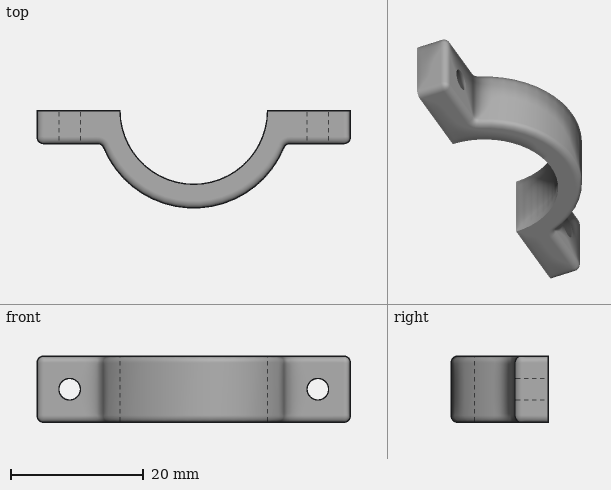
import cadquery as cq

length = 47.25
width = 10.0
outer_radius = 14.7
bore_radius = 11.1

ear_thickness = 5.0
hole_diameter = 3.2
hole_spacing = 37.4

edge_radius = 1.0


def half_disc(radius):
    """Half cylinder on the -Y side of the flat mating plane."""
    return (
        cq.Workplane("XY")
        .moveTo(-radius, 0)
        .threePointArc((0, -radius), (radius, 0))
        .close()
        .extrude(width)
    )


def ear_bar():
    """Straight bar behind the arch that forms both ears."""
    bar = cq.Workplane("XY").box(length, ear_thickness, width, centered=(True, False, False))
    return bar.translate((0, -ear_thickness, 0))


body = half_disc(outer_radius).union(ear_bar())
corner_reach = outer_radius + edge_radius
corner_box = cq.selectors.BoxSelector(
    (-corner_reach, -ear_thickness - edge_radius, 0),
    (corner_reach, -ear_thickness + edge_radius, width),
)
body = body.edges("|Z").edges(corner_box).fillet(edge_radius)

rims_and_ends = body.edges("<Z or >Z or (|Z and (<X or >X))")
body = rims_and_ends.filter(
    lambda edge: edge.Center().y < -edge_radius
).fillet(edge_radius)

body = body.cut(half_disc(bore_radius))

for hole_x in (-hole_spacing / 2, hole_spacing / 2):
    hole = (
        cq.Workplane("XZ")
        .center(hole_x, width / 2)
        .circle(hole_diameter / 2)
        .extrude(ear_thickness)
    )
    body = body.cut(hole)

result = body